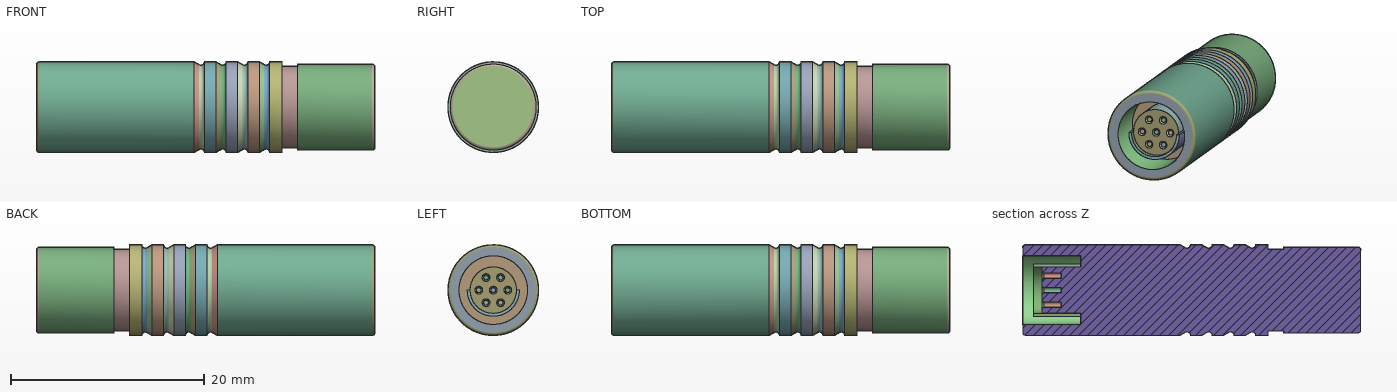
import cadquery as cq
import math

length = 35.0
body_radius = 4.7
front_edge_fillet = 0.3
neck_start = 25.4
neck_end = 27.0
neck_radius = 4.25
rear_radius = 4.45
rear_edge_fillet = 0.3

groove_count = 4
groove_pitch = 2.25
first_groove_wall = 17.35
groove_arc_radius = 0.35
groove_ramp_angle = 30.0

socket_radius = 3.55
socket_depth = 6.0
insert_radius = 2.4
insert_face_depth = 2.0
key_radius = 2.7
key_face_depth = 1.15

ring_contact_count = 6
contact_circle_radius = 1.5
contact_hole_radius = 0.25
contact_hole_depth = 2.0
countersink_radius = 0.4
countersink_depth = 0.2


def cylinder(start, end, radius):
    """Cylinder on the X axis between two X positions."""
    return cq.Workplane("YZ", origin=(start, 0, 0)).circle(radius).extrude(end - start)


def make_body():
    """Barrel, neck and rear sleeve, with rounded outer end edges."""
    barrel = cylinder(0, neck_start, body_radius).faces("<X").edges().fillet(front_edge_fillet)
    neck = cylinder(neck_start, neck_end, neck_radius)
    rear = cylinder(neck_end, length, rear_radius).faces(">X").edges().fillet(rear_edge_fillet)
    return barrel.union(neck).union(rear)


def make_groove(wall_x):
    """Ring to cut: a ramp running tangentially into an arc centred on the barrel surface."""
    ramp = math.radians(groove_ramp_angle)
    arc_x = wall_x - groove_arc_radius
    ramp_start = (arc_x - groove_arc_radius / math.sin(ramp), body_radius)
    ramp_end = (
        arc_x - groove_arc_radius * math.sin(ramp),
        body_radius - groove_arc_radius * math.cos(ramp),
    )
    arc_bottom = (arc_x, body_radius - groove_arc_radius)
    return (
        cq.Workplane("XY")
        .moveTo(*ramp_start)
        .lineTo(*ramp_end)
        .threePointArc(arc_bottom, (wall_x, body_radius))
        .close()
        .revolve(360, (0, 0, 0), (1, 0, 0))
    )


def make_insert():
    """Round contact carrier standing on the socket floor."""
    return cylinder(insert_face_depth, socket_depth, insert_radius)


def make_key():
    """Half-ring around the lower half of the insert, reaching past its face."""
    ring = cylinder(key_face_depth, socket_depth, key_radius)
    ring = ring.cut(cylinder(key_face_depth, socket_depth, insert_radius))
    upper_half = cq.Workplane("XY").box(
        socket_depth, 2 * key_radius, key_radius, centered=(False, True, False)
    )
    return ring.cut(upper_half)


def make_contact_hole(y, z):
    """Blind hole with a conical lead-in, cut into the insert face."""
    face = cq.Workplane("YZ", origin=(insert_face_depth, y, z))
    hole = face.circle(contact_hole_radius).extrude(contact_hole_depth)
    countersink = (
        face.circle(countersink_radius)
        .workplane(offset=countersink_depth)
        .circle(contact_hole_radius)
        .loft()
    )
    return hole.union(countersink)


result = make_body()
for groove_index in range(groove_count):
    result = result.cut(make_groove(first_groove_wall + groove_index * groove_pitch))

result = result.cut(cylinder(0, socket_depth, socket_radius))
result = result.union(make_insert())
result = result.union(make_key())

result = result.cut(make_contact_hole(0, 0))
for contact_index in range(ring_contact_count):
    angle = 2 * math.pi * contact_index / ring_contact_count
    contact_y = contact_circle_radius * math.cos(angle)
    contact_z = contact_circle_radius * math.sin(angle)
    result = result.cut(make_contact_hole(contact_y, contact_z))